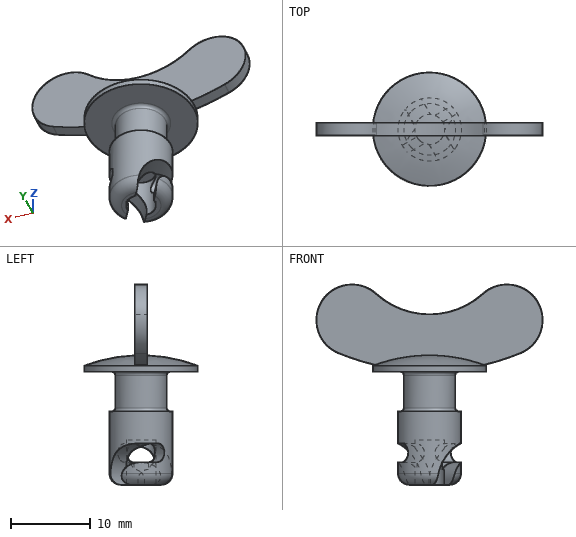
import cadquery as cq
import math

width = 28.5
grip_thickness = 1.62
lobe_radius = 4.5
saddle_radius = 10.0
belly_radius = 30.0
total_height = 25.25

head_radius = 7.15
head_bottom = 14.25
head_rim_top = 15.0
dome_radius = 20.0

neck_radius = 3.25
neck_fillet = 0.45
body_radius = 4.0
body_top = 9.25
tip_fillet = 1.5

bore_radius = 1.88
bore_depth = 5.7
slot_radius = 1.2
slot_height = 4.07
ramp_angle = 60.0
ramp_offset = 3.7
ramp_radius = 3.53
clearance = 1.42


def wing_grip():
    lobe_x = width / 2 - lobe_radius
    lobe_z = total_height - lobe_radius
    saddle_reach = saddle_radius + lobe_radius
    saddle_z = lobe_z + math.sqrt(saddle_reach**2 - lobe_x**2)
    belly_reach = belly_radius - lobe_radius
    belly_z = lobe_z + math.sqrt(belly_reach**2 - lobe_x**2)

    saddle_x = lobe_x * saddle_radius / saddle_reach
    saddle_end_z = saddle_z - (saddle_z - lobe_z) * saddle_radius / saddle_reach
    belly_x = lobe_x * belly_radius / belly_reach
    belly_end_z = belly_z - (belly_z - lobe_z) * belly_radius / belly_reach

    return (
        cq.Workplane("XZ")
        .moveTo(-saddle_x, saddle_end_z)
        .threePointArc((0, saddle_z - saddle_radius), (saddle_x, saddle_end_z))
        .threePointArc((width / 2, lobe_z), (belly_x, belly_end_z))
        .threePointArc((0, belly_z - belly_radius), (-belly_x, belly_end_z))
        .threePointArc((-width / 2, lobe_z), (-saddle_x, saddle_end_z))
        .close()
        .extrude(grip_thickness / 2, both=True)
    )


def stem_and_head():
    diagonal = math.sqrt(0.5)
    dome_base = math.sqrt(dome_radius**2 - head_radius**2)
    dome_centre_z = head_rim_top - dome_base
    dome_top = dome_centre_z + dome_radius
    dome_mid_x = head_radius / 2
    dome_mid_z = dome_centre_z + math.sqrt(dome_radius**2 - dome_mid_x**2)
    fillet_x = neck_radius + neck_fillet
    fillet_mid_x = fillet_x - neck_fillet * diagonal
    fillet_rise = neck_fillet * (1 - diagonal)
    tip_x = body_radius - tip_fillet
    return (
        cq.Workplane("XZ")
        .lineTo(tip_x, 0)
        .threePointArc(
            (tip_x + tip_fillet * diagonal, tip_fillet * (1 - diagonal)),
            (body_radius, tip_fillet),
        )
        .lineTo(body_radius, body_top)
        .lineTo(fillet_x, body_top)
        .threePointArc((fillet_mid_x, body_top + fillet_rise), (neck_radius, body_top + neck_fillet))
        .lineTo(neck_radius, head_bottom - neck_fillet)
        .threePointArc((fillet_mid_x, head_bottom - fillet_rise), (fillet_x, head_bottom))
        .lineTo(head_radius, head_bottom)
        .lineTo(head_radius, head_rim_top)
        .threePointArc((dome_mid_x, dome_mid_z), (0, dome_top))
        .close()
        .revolve(360, (0, 0, 0), (0, 1, 0))
    )


def ramp_plane():
    """Upright plane through the axis; its normal points away from the ramp's open side."""
    angle = math.radians(ramp_angle)
    sideways = (math.sin(angle), math.cos(angle), 0)
    inward = (math.cos(angle), -math.sin(angle), 0)
    return cq.Plane(origin=(0, 0, 0), xDir=sideways, normal=inward)


def ramp_cutter():
    """Ring whose upper quarter runs from the closed end of the slot down through the tip."""
    return (
        cq.Workplane(ramp_plane())
        .center(-ramp_offset, slot_height - ramp_radius)
        .circle(ramp_radius + slot_radius)
        .circle(ramp_radius - slot_radius)
        .extrude(-(body_radius + clearance))
    )


def cross_hole():
    """Round hole square to the ramps; it rounds the closed end of both slots."""
    plane = ramp_plane()
    start = plane.xDir * -(body_radius + clearance) + cq.Vector(0, 0, slot_height)
    return cq.Workplane(obj=cq.Solid.makeCylinder(
        slot_radius, 2 * (body_radius + clearance), start, plane.xDir))


bore = cq.Workplane("XY").circle(bore_radius).extrude(bore_depth)

result = stem_and_head().union(wing_grip()).cut(bore).cut(cross_hole())
for turn in (0, 180):
    result = result.cut(ramp_cutter().rotate((0, 0, 0), (0, 0, 1), turn))